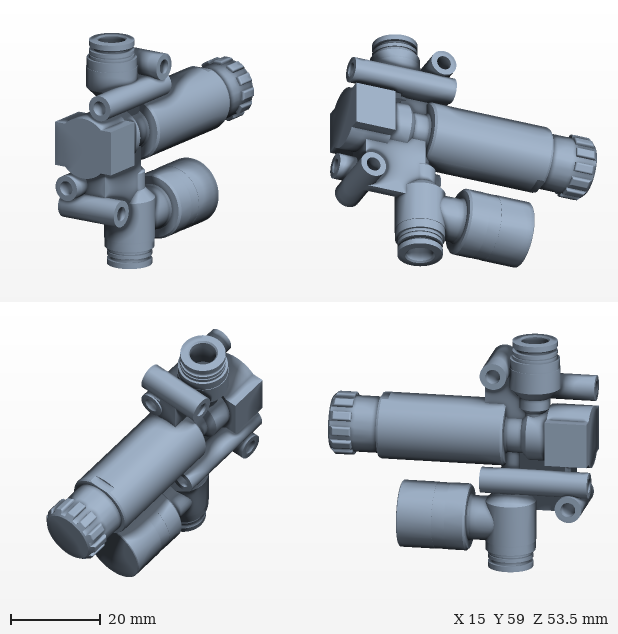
import cadquery as cq


width = 15.0
half_width = width / 2
length = 59.0

block_depth = 9.5
block_height = 10.05
front_radius = 6.95

collar_radius = 5.9
collar_end_y = 14.15
waist_radius = 4.5
waist_start_y = 15.6
body_start_y = 19.3
body_end_y = 47.9
body_bevel = 0.5
waist_flare = 0.4
body_rim_step = 0.2
flat_length = 2.0
flat_height = 6.95

shaft_radius = 6.3
knob_start_y = 53.75
knob_radius = 7.1
knob_blank_radius = 7.25
knob_tip_radius = 5.95
rib_count = 12
rib_width = 2.05
rib_round = 0.4

plug_z = -20.35
plug_radius = width / 2
plug_start_y = 27.8
plug_end_y = 43.3
plug_bevel = 0.5
plug_rim_bevel = 0.2
band_start_y = 32.35
band_end_y = 35.3
band_radius = 7.45
plug_neck_radius = 4.95
plug_neck_flare = 0.55

port_radius = 5.7
port_collar_radius = 5.6
port_collar_depth = 4.2
port_shoulder_depth = 6.3
port_neck_radius = 3.5
port_cone = port_radius - port_neck_radius
port_neck_length = 2.4
sleeve_radius = 5.1
sleeve_flange = 1.4
sleeve_slope = 0.2
groove_radius = 4.0
groove_lip = 0.3
ring_start_depth = 2.35
ring_end_depth = 3.1
seam_radius = 4.8
seam_end_depth = 3.5
bore_radius = 3.0
bore_bevel = 0.35
bore_depth = 7.1

upper_port_x = -0.95
upper_port_y = 12.9
upper_port_end_z = 22.25
upper_body_length = 11.05
upper_stem_radius = 2.4

lower_port_x = 0.0
lower_port_y = 18.65
lower_port_end_z = -31.3
lower_body_length = 15.5
lower_neck_length = 3.9
lower_stem_radius = 2.05

tube_hole_radius = 1.65
long_tube_radius = 2.9
long_tube_length = 24.4
long_tube_x = 4.5
long_tube_z = 10.05
cross_tube_radius = 3.0
cross_tube_z = 15.05
upper_cross_y = 21.25
lower_cross_y = 4.2

upper_web_half_width = 2.2
upper_web_end_y = 24.1
lower_web_thickness = 2.35
lower_web_max_x = 3.1
lower_wall_min_x = -4.35
lower_wall_thickness = 1.25
web_root_z = 3.55


def cylinder_y(radius, start, end, x=0.0, z=0.0):
    """Cylinder along Y from start to end."""
    return cq.Workplane("XZ", origin=(x, start, z)).circle(radius).extrude(start - end)


def cylinder_x(radius, y, z):
    """Cylinder along X over the full width."""
    return cq.Workplane("YZ", origin=(-half_width, y, z)).circle(radius).extrude(width)


def box(x_range, y_range, z_range):
    """Box between pairs of limits."""
    sizes = [high - low for low, high in (x_range, y_range, z_range)]
    corner = (x_range[0], y_range[0], z_range[0])
    return cq.Workplane("XY").box(*sizes, centered=False).translate(corner)


def turned_y(profile, z=0.0):
    """Solid turned about Y from (radius, y) points; closed on the axis."""
    points = [(0, profile[0][1])] + profile + [(0, profile[-1][1])]
    solid = cq.Workplane("XY").polyline(points).close().revolve(360, (0, 0, 0), (0, 1, 0))
    return solid.translate((0, 0, z))


def front_block():
    block = box((-half_width, half_width), (0, block_depth), (-block_height / 2, block_height / 2))
    return block.union(cylinder_y(front_radius, 0, block_depth))


def valve_body():
    rim_radius = half_width - body_rim_step
    body = turned_y([
        (collar_radius, 0),
        (collar_radius, collar_end_y),
        (waist_radius, waist_start_y),
        (waist_radius, body_start_y - waist_flare),
        (waist_radius + waist_flare, body_start_y),
        (half_width - body_bevel, body_start_y),
        (half_width, body_start_y + body_bevel),
        (half_width, body_end_y - body_bevel),
        (rim_radius, body_end_y),
        (knob_blank_radius, body_end_y),
        (knob_blank_radius, length - (knob_blank_radius - knob_tip_radius)),
        (knob_tip_radius, length),
    ])
    body = body.cut(knob_gaps())
    flat_y = (body_end_y - flat_length, body_end_y)
    across = (-half_width, half_width)
    body = body.cut(box(across, flat_y, (flat_height, width)))
    return body.cut(box(across, flat_y, (-width, -flat_height)))


def grip_rib():
    """Knob rib at +Z, reaching down to the axis, with its outer edges rounded."""
    side = [
        (knob_start_y, 0),
        (knob_start_y, knob_radius),
        (length - (knob_radius - knob_tip_radius), knob_radius),
        (length, knob_tip_radius),
        (length, 0),
    ]
    rib = cq.Workplane("YZ").polyline(side).close().extrude(rib_width / 2, both=True)
    return rib.faces(">Z").edges().fillet(rib_round)


def knob_gaps():
    """Everything around the shaft except the grip ribs."""
    rib = grip_rib()
    gaps = cylinder_y(width, body_end_y, length)
    gaps = gaps.cut(cylinder_y(shaft_radius, body_end_y, length))
    for index in range(rib_count):
        gaps = gaps.cut(rib.rotate((0, 0, 0), (0, 1, 0), index * 360 / rib_count))
    return gaps


def plug_fitting():
    return turned_y([
        (plug_neck_radius, lower_port_y),
        (plug_neck_radius, plug_start_y - plug_neck_flare),
        (plug_neck_radius + plug_neck_flare / 2, plug_start_y),
        (plug_radius - plug_bevel, plug_start_y),
        (plug_radius, plug_start_y + plug_bevel),
        (plug_radius, band_start_y),
        (band_radius, band_start_y),
        (band_radius, band_end_y),
        (plug_radius, band_end_y),
        (plug_radius, plug_end_y - plug_rim_bevel),
        (plug_radius - plug_rim_bevel, plug_end_y),
    ], plug_z)


def push_in_port(body_length, neck_length, stem_radius, reach):
    """Port with its mouth at the origin, running down -Z until the stem ends at depth reach."""
    cone_end = body_length + port_cone
    neck_end = cone_end + neck_length
    stem_start = neck_end + port_neck_radius - stem_radius
    mouth_radius = bore_radius + bore_bevel
    profile = [
        (0, bore_depth),
        (bore_radius, bore_depth),
        (bore_radius, bore_bevel),
        (mouth_radius, 0),
        (sleeve_radius, sleeve_slope),
        (sleeve_radius, sleeve_flange),
        (groove_radius + groove_lip, sleeve_flange),
        (groove_radius, sleeve_flange + 2 * groove_lip),
        (groove_radius, ring_start_depth),
        (sleeve_radius, ring_start_depth),
        (sleeve_radius, ring_end_depth),
        (seam_radius, ring_end_depth),
        (seam_radius, seam_end_depth),
        (sleeve_radius, seam_end_depth),
        (sleeve_radius, port_collar_depth),
        (port_collar_radius, port_collar_depth),
        (port_collar_radius, port_shoulder_depth),
        (port_radius, port_shoulder_depth),
        (port_radius, body_length),
        (port_neck_radius, cone_end),
        (port_neck_radius, neck_end),
        (stem_radius, stem_start),
        (stem_radius, reach),
        (0, reach),
    ]
    points = [(radius, -depth) for radius, depth in profile]
    return cq.Workplane("XZ").polyline(points).close().revolve(360, (0, 0, 0), (0, 1, 0))


def upper_port():
    port = push_in_port(upper_body_length, port_neck_length, upper_stem_radius, upper_port_end_z)
    return port.translate((upper_port_x, upper_port_y, upper_port_end_z))


def lower_port():
    port = push_in_port(lower_body_length, lower_neck_length, lower_stem_radius, -lower_port_end_z)
    port = port.rotate((0, 0, 0), (1, 0, 0), 180)
    return port.translate((lower_port_x, lower_port_y, lower_port_end_z))


def mounting_tubes(long_radius, cross_radius):
    """The four tubes, or their holes, at the given radii."""
    tubes = cylinder_y(long_radius, 0, long_tube_length, long_tube_x, long_tube_z)
    tubes = tubes.union(cylinder_y(long_radius, 0, long_tube_length, -long_tube_x, -long_tube_z))
    tubes = tubes.union(cylinder_x(cross_radius, upper_cross_y, cross_tube_z))
    return tubes.union(cylinder_x(cross_radius, lower_cross_y, -cross_tube_z))


def webs():
    upper = box(
        (-upper_web_half_width, upper_web_half_width),
        (upper_port_y, upper_web_end_y),
        (web_root_z, cross_tube_z),
    )
    upper_pad = box(
        (0, long_tube_x),
        (upper_port_y, upper_web_end_y),
        (long_tube_z - long_tube_radius, long_tube_z + long_tube_radius),
    )
    lower_z = (-cross_tube_z - cross_tube_radius, -web_root_z)
    lower = box(
        (lower_web_max_x - lower_web_thickness, lower_web_max_x),
        (lower_cross_y, lower_port_y),
        lower_z,
    )
    wall = box(
        (lower_wall_min_x, lower_web_max_x),
        (lower_cross_y, lower_cross_y + lower_wall_thickness),
        (-cross_tube_z, -web_root_z),
    )
    return upper.union(upper_pad).union(lower).union(wall)


result = front_block().union(valve_body())
result = result.union(webs()).union(mounting_tubes(long_tube_radius, cross_tube_radius))
result = result.union(upper_port()).union(plug_fitting()).union(lower_port())
result = result.cut(mounting_tubes(tube_hole_radius, tube_hole_radius))